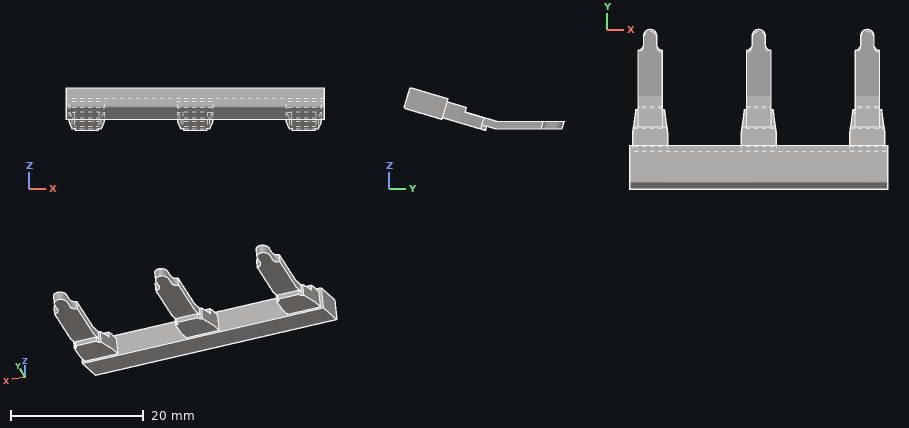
import cadquery as cq
import math

tilt_deg = 16.5

bar_length = 39.0
bar_depth = 6.0
bar_height = 3.28
bar_edge_radius = 0.3

pin_count = 3
pin_pitch = 16.38
pin_width = 3.7
pin_thickness = 1.17
pin_bottom = 0.95
pin_bend_y = 14.1
pin_tip_y = 23.8
tip_width = 2.03
tip_shoulder_length = 3.05

collar_width = 5.3
collar_bottom = 0.27
collar_top = 2.8
collar_straight_end = 8.25
collar_step_y = 9.05
collar_taper_end = 12.0
collar_taper_width = 4.35
collar_shelf_drop = 0.08
lip_root_width = 3.63
lip_end_width = 3.45
lip_end = 12.8

pin_top = pin_bottom + pin_thickness
shelf_top = pin_top - collar_shelf_drop


def make_bar():
    bar = cq.Workplane("XY").box(bar_length, bar_depth, bar_height, centered=(True, False, False))
    return bar.faces("<Y").edges("|X").fillet(bar_edge_radius)


def extrude_side_profile(points, width):
    """Extrude a (Y, Z) outline symmetrically about X = 0."""
    return cq.Workplane("YZ").polyline(points).close().extrude(width / 2, both=True)


def make_collar():
    plan = (
        cq.Workplane("XY")
        .moveTo(-collar_width / 2, bar_depth)
        .lineTo(-collar_width / 2, collar_straight_end)
        .lineTo(-collar_taper_width / 2, collar_taper_end)
        .lineTo(-lip_root_width / 2, collar_taper_end)
        .lineTo(-lip_end_width / 2, lip_end)
        .lineTo(lip_end_width / 2, lip_end)
        .lineTo(lip_root_width / 2, collar_taper_end)
        .lineTo(collar_taper_width / 2, collar_taper_end)
        .lineTo(collar_width / 2, collar_straight_end)
        .lineTo(collar_width / 2, bar_depth)
        .close()
        .extrude(collar_top)
    )
    side = extrude_side_profile(
        [
            (bar_depth, collar_bottom),
            (lip_end, collar_bottom),
            (lip_end, pin_bottom),
            (collar_taper_end, pin_bottom),
            (collar_taper_end, shelf_top),
            (collar_step_y, shelf_top),
            (collar_step_y, collar_top),
            (bar_depth, collar_top),
        ],
        collar_width,
    )
    return plan.intersect(side)


def make_pin():
    tilt = math.radians(tilt_deg)
    rise = (pin_tip_y - pin_bend_y) * math.tan(tilt)
    lower_bend_y = pin_bend_y + pin_thickness * math.tan(tilt / 2)
    lower_rise = (pin_tip_y - lower_bend_y) * math.tan(tilt)
    side = extrude_side_profile(
        [
            (bar_depth, pin_bottom),
            (lower_bend_y, pin_bottom),
            (pin_tip_y, pin_bottom + lower_rise),
            (pin_tip_y, pin_top + rise),
            (pin_bend_y, pin_top),
            (bar_depth, pin_top),
        ],
        pin_width,
    )

    tip_radius = tip_width / 2
    neck_radius = (pin_width - tip_width) / 2
    shoulder_y = pin_tip_y - tip_shoulder_length
    neck_y = shoulder_y + neck_radius
    plan = (
        cq.Workplane("XY")
        .moveTo(-pin_width / 2, bar_depth)
        .lineTo(-pin_width / 2, shoulder_y)
        .radiusArc((-tip_width / 2, neck_y), -neck_radius)
        .lineTo(-tip_width / 2, pin_tip_y - tip_radius)
        .threePointArc((0, pin_tip_y), (tip_width / 2, pin_tip_y - tip_radius))
        .lineTo(tip_width / 2, neck_y)
        .radiusArc((pin_width / 2, shoulder_y), -neck_radius)
        .lineTo(pin_width / 2, bar_depth)
        .close()
        .extrude(pin_top + rise)
    )
    return side.intersect(plan)


bridge = make_bar()
contact = make_collar().union(make_pin())
for index in range(pin_count):
    pin_x = (index - (pin_count - 1) / 2) * pin_pitch
    bridge = bridge.union(contact.translate((pin_x, 0, 0)))

result = bridge.rotate((0, 0, 0), (1, 0, 0), -tilt_deg)